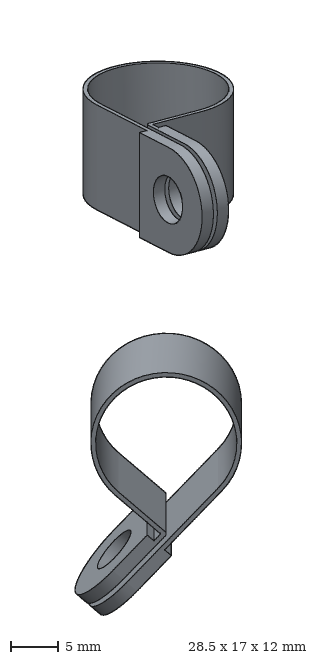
import cadquery as cq

length = 28.5
width = 12.0
loop_radius = 8.0
band = 0.5
pad_thickness = 1.48
pad_gap = 0.5
pad_start = 17.07
hole_diameter = 5.3
hole_x = 22.3
bend_radius = 0.35

inner_radius = loop_radius - band
loop_right = 2 * loop_radius
lower_face = -inner_radius
upper_face = lower_face + pad_gap
pad_end_radius = width / 2
cutter_reach = 2 * loop_radius + pad_thickness


def make_strap():
    """Loop with a wall on its right side and a tail, both leading to pads."""
    profile = (
        cq.Workplane("XY")
        .moveTo(length, lower_face - pad_thickness)
        .lineTo(pad_start, lower_face - pad_thickness)
        .lineTo(pad_start, -loop_radius)
        .lineTo(loop_radius, -loop_radius)
        .threePointArc((0, 0), (loop_radius, loop_radius))
        .radiusArc((loop_right, 0), loop_radius)
        .lineTo(loop_right, upper_face + band)
        .lineTo(pad_start, upper_face + band)
        .lineTo(pad_start, upper_face + pad_thickness)
        .lineTo(length, upper_face + pad_thickness)
        .lineTo(length, upper_face)
        .lineTo(loop_right - band + bend_radius, upper_face)
        .radiusArc((loop_right - band, upper_face + bend_radius), bend_radius)
        .lineTo(loop_right - band, 0)
        .threePointArc((loop_radius, inner_radius), (band, 0))
        .radiusArc((loop_radius, -inner_radius), -inner_radius)
        .lineTo(length, lower_face)
        .close()
    )
    return profile.extrude(width / 2, both=True)


def make_side_outline():
    """Block shaped like the strap seen along Y: straight, with a round end."""
    end_center = length - pad_end_radius
    outline = (
        cq.Workplane("XZ")
        .moveTo(0, -width / 2)
        .lineTo(end_center, -width / 2)
        .threePointArc((length, 0), (end_center, width / 2))
        .lineTo(0, width / 2)
        .close()
    )
    return outline.extrude(cutter_reach, both=True)


def make_bolt_hole():
    """Cutter through both pads."""
    return (
        cq.Workplane("XZ")
        .center(hole_x, 0)
        .circle(hole_diameter / 2)
        .extrude(cutter_reach, both=True)
    )


result = make_strap().intersect(make_side_outline()).cut(make_bolt_hole())